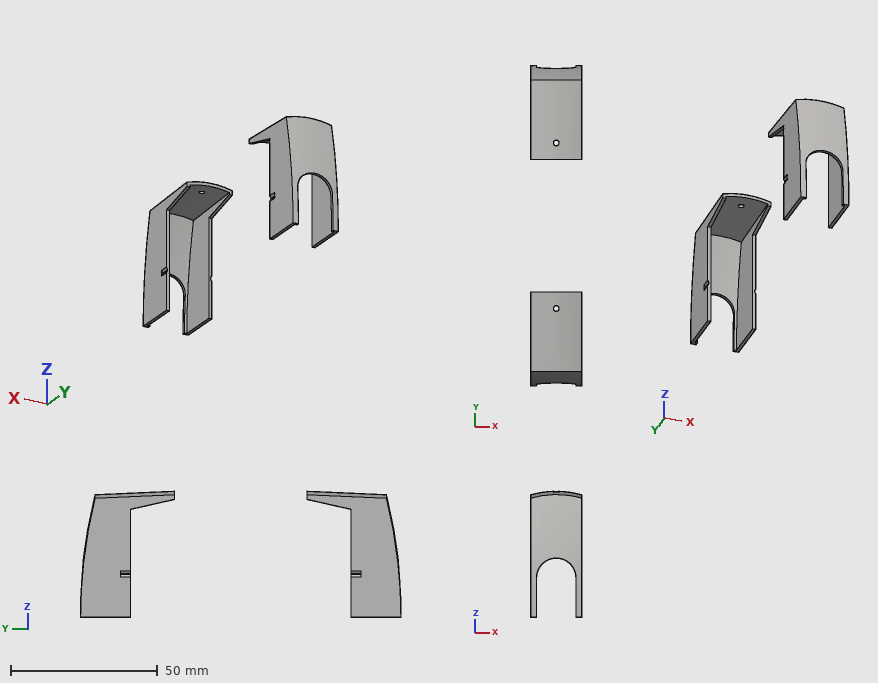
import cadquery as cq
import math

width = 17.5
length = 109.4
height = 43.0

tip_y = 22.5
upright_y = 37.5
tip_underside_z = 40.1
arm_root_z = 36.8

side_wall = 1.2
roof_wall = 1.2
end_wall = 1.2

roof_radius = 31.7
roof_slope = 2.5

end_radius = 169.6
bulge_radius = 131.3

arch_radius = 6.7
arch_top_z = 20.1
hole_diameter = 1.9
hole_from_tip = 5.7

groove_length = 3.5
groove_height = 2.1
groove_depth = 0.4
groove_floor = 0.2
groove_z = 14.8

half_length = length / 2
half_width = width / 2
margin = 5.5

bulge_at_arch = bulge_radius - math.sqrt(bulge_radius**2 - arch_radius**2)
end_crown_y = half_length + bulge_at_arch


def roof_cylinder(inset):
    """Solid under the crowned roof, lowered by inset."""
    slope = math.radians(roof_slope)
    direction = cq.Vector(0, -math.cos(slope), -math.sin(slope))
    radius = roof_radius - inset
    tip_axis = cq.Vector(0, -tip_y, height - roof_radius / math.cos(slope))
    start = tip_axis - direction * margin
    return cq.Workplane(cq.Solid.makeCylinder(radius, half_length, start, direction))


def end_drum(inset):
    """Solid behind the curved end face, moved inward by inset."""
    axis_y = end_radius - end_crown_y
    crown_y = inset - end_crown_y
    reach = half_width + margin
    radius = bulge_radius - inset
    edge_y = crown_y + radius - math.sqrt(radius**2 - reach**2)
    section = (
        cq.Workplane("XY")
        .moveTo(-reach, 0)
        .lineTo(-reach, edge_y)
        .threePointArc((0, crown_y), (reach, edge_y))
        .lineTo(reach, 0)
        .close()
    )
    return section.revolve(180, (0, axis_y, 0), (-1, axis_y, 0))


def side_profile():
    """Side outline of the cover, left oversize at the roof and the end face."""
    outline = [
        (-upright_y, 0),
        (-upright_y, arm_root_z),
        (-tip_y, tip_underside_z),
        (-tip_y, height + margin),
        (-half_length - margin, height + margin),
        (-half_length - margin, 0),
    ]
    return cq.Workplane("YZ").polyline(outline).close().extrude(half_width, both=True)


def cavity():
    """Hollow inside the walls, open below and at the inner side."""
    block = cq.Workplane("XY").box(
        width - 2 * side_wall, half_length + margin, height + 2 * margin, centered=(True, False, False)
    ).translate((0, -half_length - margin, -margin))
    return block.intersect(roof_cylinder(roof_wall)).intersect(end_drum(end_wall))


def arch():
    """Round-topped opening through the end face."""
    spring_z = arch_top_z - arch_radius
    return (
        cq.Workplane("XZ", origin=(0, -upright_y, 0))
        .moveTo(-arch_radius, -margin)
        .lineTo(-arch_radius, spring_z)
        .threePointArc((0, arch_top_z), (arch_radius, spring_z))
        .lineTo(arch_radius, -margin)
        .close()
        .extrude(half_length)
    )


def groove(side):
    """Groove with sloping flanks in the outer face of one side wall; side is -1 or 1."""
    face_x = side * half_width
    floor_x = face_x - side * groove_depth
    return (
        cq.Workplane("XZ", origin=(0, -upright_y, groove_z))
        .moveTo(face_x, groove_height / 2)
        .lineTo(floor_x, groove_floor / 2)
        .lineTo(floor_x, -groove_floor / 2)
        .lineTo(face_x, -groove_height / 2)
        .close()
        .extrude(groove_length)
    )


def roof_hole():
    hole_y = -tip_y - hole_from_tip
    return (
        cq.Workplane("XY", origin=(0, hole_y, arm_root_z))
        .circle(hole_diameter / 2)
        .extrude(height)
    )


def cover():
    """Cover on the -Y side."""
    body = side_profile().intersect(roof_cylinder(0)).intersect(end_drum(0))
    body = body.cut(cavity()).cut(arch()).cut(roof_hole())
    for side in (-1, 1):
        body = body.cut(groove(side))
    return body


covers = [cover().rotate((0, 0, 0), (0, 0, 1), angle) for angle in (0, 180)]

result = cq.Compound.makeCompound([one_cover.val() for one_cover in covers])